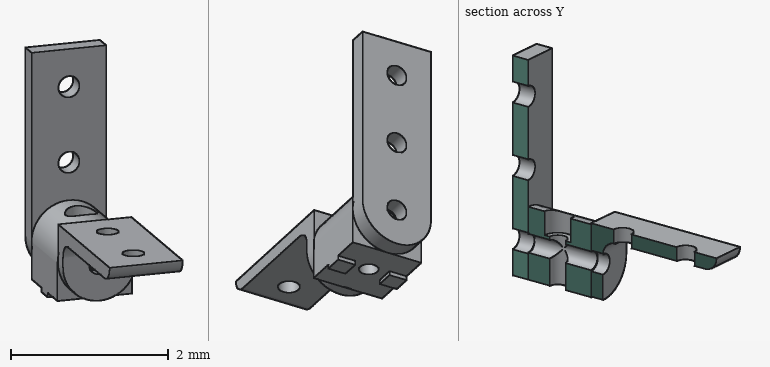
import cadquery as cq

spacing = 1.0
half_width = spacing / 2
screw_hole_diameter = 0.28
pivot_hole_diameter = 0.25

strap_thickness = 0.25
strap_top = 2.5 * spacing

block_length = spacing
block_start = strap_thickness
block_end = block_start + block_length
cross_hole_x = 0.718
cross_hole_diameter = 0.25
counterbore_diameter = 0.41
counterbore_depth = 0.325
tab_size = 0.25
tab_height = 0.06

overall_length = 3.25
bracket_half_width = 0.49
bracket_top = 0.517
flange_thickness = 0.195
leg_thickness = 0.19
bend_radius = 0.195
tip_radius = 0.192


def x_cylinder(diameter, start, length):
    """Cylinder on the pivot axis."""
    return cq.Workplane("YZ", origin=(start, 0, 0)).circle(diameter / 2).extrude(length)


def z_cylinder(diameter, x, bottom, height):
    """Upright cylinder in the plane of symmetry."""
    return cq.Workplane("XY", origin=(x, 0, bottom)).circle(diameter / 2).extrude(height)


def make_strap():
    """Flat upright strap with a rounded lower end and three screw holes."""
    strap = (
        cq.Workplane("YZ")
        .moveTo(-half_width, strap_top)
        .lineTo(-half_width, 0)
        .threePointArc((0, -half_width), (half_width, 0))
        .lineTo(half_width, strap_top)
        .close()
        .extrude(strap_thickness)
    )
    for hole in range(3):
        cutter = x_cylinder(screw_hole_diameter, 0, strap_thickness)
        strap = strap.cut(cutter.translate((0, 0, hole * spacing)))
    return strap


def make_block():
    """Round-topped block with crossing bores and two tabs underneath."""
    block = (
        cq.Workplane("YZ", origin=(block_start, 0, 0))
        .moveTo(-half_width, 0)
        .threePointArc((0, half_width), (half_width, 0))
        .lineTo(half_width, -half_width)
        .lineTo(-half_width, -half_width)
        .close()
        .extrude(block_length)
    )
    for side in (-1, 1):
        tab = cq.Workplane("XY").box(tab_size, tab_size, tab_height)
        tab_x = block_start + block_length / 2
        tab_y = side * (half_width - tab_size / 2)
        block = block.union(tab.translate((tab_x, tab_y, -half_width - tab_height / 2)))
    block = block.cut(x_cylinder(pivot_hole_diameter, block_start, block_length))
    block = block.cut(z_cylinder(cross_hole_diameter, cross_hole_x, -half_width, 2 * half_width))
    counterbore_floor = half_width - counterbore_depth
    return block.cut(
        z_cylinder(counterbore_diameter, cross_hole_x, counterbore_floor, counterbore_depth)
    )


def make_bracket():
    """L-shaped bracket: a round-ended leg on the pivot and a flange with two screw holes."""
    flange_bottom = bracket_top - flange_thickness
    leg_face = block_end + leg_thickness
    side_profile = (
        cq.Workplane("XZ")
        .moveTo(block_end, bracket_top)
        .lineTo(overall_length, bracket_top)
        .lineTo(overall_length, flange_bottom)
        .lineTo(leg_face, flange_bottom)
        .lineTo(leg_face, 0)
        .lineTo(block_end, 0)
        .close()
        .extrude(bracket_half_width, both=True)
    )
    bracket = side_profile.edges(
        cq.selectors.NearestToPointSelector((leg_face, 0, flange_bottom))
    ).fillet(bend_radius)
    bracket = bracket.edges(
        cq.selectors.NearestToPointSelector((overall_length, 0, flange_bottom))
    ).fillet(tip_radius)
    lower_end = x_cylinder(2 * bracket_half_width, block_end, leg_thickness)
    bracket = bracket.union(lower_end)
    bracket = bracket.cut(x_cylinder(screw_hole_diameter, block_end, leg_thickness))
    for hole in range(2):
        hole_x = block_end + (hole + 0.5) * spacing
        bracket = bracket.cut(
            z_cylinder(screw_hole_diameter, hole_x, flange_bottom, flange_thickness)
        )
    return bracket


strap = make_strap()
block = make_block()
bracket = make_bracket()

result = cq.Compound.makeCompound([strap.val(), block.val(), bracket.val()])